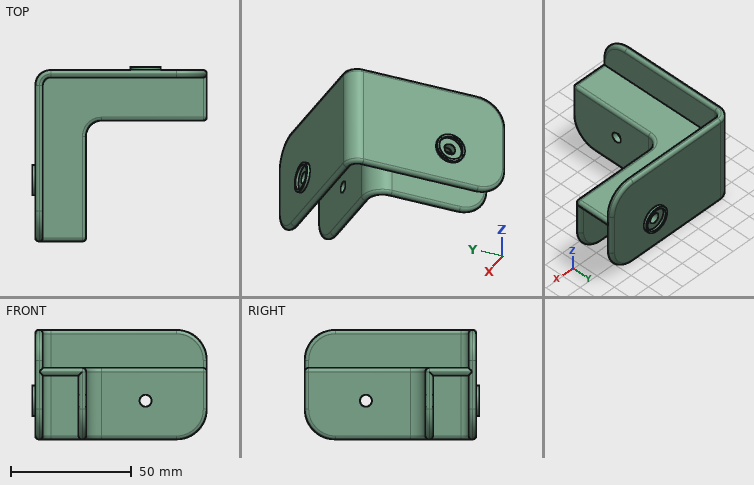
import cadquery as cq
import math

overall_length = 72.4
boss_height = 1.3
leg_length = overall_length - boss_height
leg_width = 21.1
outer_height = 45.45
shelf_top = 29.7
wall = 3.2
crest_flat = 0.015
edge_radius = (wall - crest_flat) / 2
bend_radius = 6.4
end_corner_radius = 12.7

hole_diameter = 4.85
boss_diameter = 12.7
recess_diameter = 10.65
hole_distance = 45.7
hole_height = 16.1


def l_band(near, far, near_radius, far_radius, height):
    """L-shaped prism between two offsets from the outer faces, with rounded bends."""

    def bend(offset, radius):
        start = (offset, -offset - radius)
        reach = radius * (1 - math.sqrt(0.5))
        middle = (offset + reach, -offset - reach)
        end = (offset + radius, -offset)
        return start, middle, end

    near_start, near_middle, near_end = bend(near, near_radius)
    far_start, far_middle, far_end = bend(far, far_radius)
    return (
        cq.Workplane("XY")
        .moveTo(near, -leg_length)
        .lineTo(*near_start)
        .threePointArc(near_middle, near_end)
        .lineTo(leg_length, -near)
        .lineTo(leg_length, -far)
        .lineTo(*far_end)
        .threePointArc(far_middle, far_start)
        .lineTo(far, -leg_length)
        .close()
        .extrude(height)
    )


def at_leg_end(edge):
    center = edge.Center()
    return max(center.x, -center.y) > leg_length - end_corner_radius


def round_wall(body, corner_edges):
    """Round the chosen corners of both leg ends, then every free edge of the wall."""
    body = body.newObject(corner_edges).fillet(end_corner_radius)
    bend_seams = [e for e in body.edges("|Z").vals() if not at_leg_end(e)]
    free_edges = [e for e in body.edges().vals() if not any(e.isSame(s) for s in bend_seams)]
    return body.newObject(free_edges).fillet(edge_radius)


def end_face_edges(body, selector):
    """Short edges across the wall thickness at the two leg ends."""
    return body.faces(">X or <Y").edges(selector).vals()


outer_blank = l_band(0, wall, bend_radius, bend_radius - wall, outer_height)
outer_wall = round_wall(outer_blank, end_face_edges(outer_blank, "not |Z"))

inner_blank = l_band(leg_width - wall, leg_width, bend_radius + wall, bend_radius, shelf_top)
inner_wall = round_wall(inner_blank, end_face_edges(inner_blank, "<Z"))

half_wall = wall / 2
shelf = (
    l_band(half_wall, leg_width - half_wall, bend_radius - half_wall, bend_radius + half_wall, wall)
    .faces(">X or <Y")
    .edges("not |Z")
    .fillet(edge_radius)
    .translate((0, 0, shelf_top - wall))
)

bracket = outer_wall.union(inner_wall).union(shelf)

back_plane = cq.Plane(origin=(hole_distance, 0, hole_height), xDir=(1, 0, 0), normal=(0, 1, 0))
side_plane = cq.Plane(origin=(0, -hole_distance, hole_height), xDir=(0, 1, 0), normal=(-1, 0, 0))
for plane in (back_plane, side_plane):
    boss = cq.Workplane(plane).circle(boss_diameter / 2).extrude(boss_height)
    recess = cq.Workplane(plane).circle(recess_diameter / 2).extrude(boss_height)
    hole = cq.Workplane(plane).circle(hole_diameter / 2).extrude(-leg_width)
    bracket = bracket.union(boss).cut(recess).cut(hole)

result = bracket